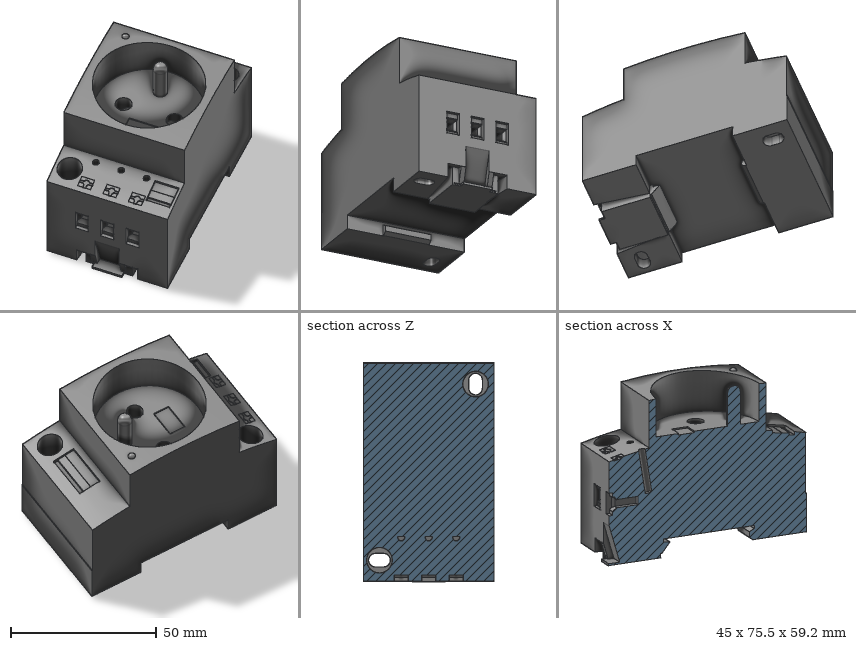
import cadquery as cq
import math

OVERLAP = 1.0

WIDTH = 45.0
HALF_DEPTH = 37.5
REAR_STEP = 0.25
REAR_STEP_TOP = 14.0
TOWER_HALF_DEPTH = 22.3
TOP_HEIGHT = 57.55
TOP_RADIUS = 180.0
SHOULDER_CROWN = 40.6
SHOULDER_RADIUS = 158.0

RAIL_HALF_WIDTH = 17.75
RAIL_HEIGHT = 5.1
HOOK_REACH = 1.9
HOOK_WIDTH = 17.5
HOOK_TOP = 4.1
HOOK_TIP_TOP = 3.2
HOOK_TIP_BOTTOM = 1.1
HOOK_BASE_OFFSET = 0.35

CLIP_HALF_WIDTH = 8.73
CLIP_FRONT = -35.6
CLIP_BOTTOM = -1.6
CLIP_NOSE_TIP = (-14.2, 3.75)
CLIP_NOSE_ROOT = -16.7
CLIP_NOSE_SHELF = 4.1
CLIP_NOSE_BASE_OFFSET = 0.5
TONGUE_HALF_WIDTH = 5.55
TONGUE_FRONT = -37.73
TONGUE_TOP = -0.75
GROOVE_HALF_WIDTH = 8.0
GROOVE_HEIGHT = 0.25
GROOVE_DEPTH = 0.8
WEDGE_HALF_WIDTH = 6.27
WEDGE_PROUD = 2.2
CHANNEL_MOUTH_HALF_WIDTH = 11.35
CHANNEL_HALF_WIDTH = 9.25
NOTCH_HALF_WIDTH = 4.45
NOTCH_TOP = 12.85
NOTCH_DEPTH = 4.0

SOCKET_DIAMETER = 39.0
SOCKET_FLOOR = 42.65
PIN_DIAMETER = 5.0
PIN_Y = 10.1
PIN_TOP = 57.0
CONTACT_DIAMETER = 5.8
CONTACT_PITCH = 19.0
CONTACT_DEPTH = 10.0
CONTACT_FLOOR_ANGLE = 38.0
LABEL_LENGTH = 10.5
LABEL_WIDTH = 5.95
LABEL_Y = -8.05
LABEL_DEPTH = 0.5
LAMP_RADIUS = 1.4
LAMP_X = -16.05
LAMP_Y = 17.4
LAMP_TOP = 57.55

BORE_DIAMETER = 8.7
BORE_FLOOR = 5.0
SLOT_LENGTH = 7.4
SLOT_WIDTH = 4.6
FRONT_HOLE = (-16.95, -30.25)
REAR_HOLE = (16.1, 30.3)

TERMINAL_PITCH = 9.45
TERMINAL_WIDTH = 4.8
TERMINAL_BOTTOM = 16.55
TERMINAL_TOP = 24.6
TERMINAL_DEPTH = 1.3
FUNNEL_BOTTOM = 17.9
FUNNEL_TOP = 22.9
FUNNEL_START = 0.8
FUNNEL_DEPTH = 0.8
WIRE_HOLE_SIZE = 2.8
WIRE_HOLE_DEPTH = 8.0
WIRE_HOLE_Z = 20.5
TEST_HOLE_DIAMETER = 2.3
TEST_HOLE_Y = -24.95
TEST_HOLE_DEPTH = 16.0

MARK_FRONT = -35.5
MARK_REAR = -31.7
MARK_DEPTH = 0.1
SCREW_Y = -33.45
SCREW_RADIUS = 1.05
SCREW_SLOT_WIDTH = 0.8
SCREW_STEM_WIDTH = 1.1
SCREW_DEPTH = 0.4

POCKET_INNER = 24.8
POCKET_OUTER = 33.0
POCKET_MIDDLE = 28.3
POCKET_STEP = 31.2
POCKET_DEPTH = 0.75
POCKET_STEP_DEPTH = 0.5
POCKET_MIDDLE_RISE = 0.1
FRONT_POCKET_X = (12.6, 21.4)
REAR_POCKET_X = (-7.25, 9.7)


def arc_height(crown, radius, y):
    """Height at y of an arc that peaks at the given crown above y = 0."""
    return crown - radius + math.sqrt(radius**2 - y**2)


def shoulder_height(y):
    return arc_height(SHOULDER_CROWN, SHOULDER_RADIUS, y)


def box(x0, x1, y0, y1, z0, z1):
    return cq.Workplane("XY").box(x1 - x0, y1 - y0, z1 - z0, centered=False).translate((x0, y0, z0))


def prism(yz_points, x0, x1):
    """Extrude a closed outline in the YZ plane from x0 to x1."""
    return cq.Workplane("YZ", origin=(x0, 0, 0)).polyline(yz_points).close().extrude(x1 - x0)


def cylinder(x, y, z0, z1, diameter):
    return cq.Workplane("XY", origin=(x, y, z0)).circle(diameter / 2).extrude(z1 - z0)


def arched_block(half_depth, crown, radius):
    """Full-width block on the base plane with an arched top."""
    edge = arc_height(crown, radius, half_depth)
    return (
        cq.Workplane("YZ", origin=(-WIDTH / 2, 0, 0))
        .moveTo(-half_depth, 0)
        .lineTo(-half_depth, edge)
        .threePointArc((0, crown), (half_depth, edge))
        .lineTo(half_depth, 0)
        .close()
        .extrude(WIDTH)
    )


def housing():
    lower = arched_block(HALF_DEPTH, SHOULDER_CROWN, SHOULDER_RADIUS)
    tower = arched_block(TOWER_HALF_DEPTH, TOP_HEIGHT, TOP_RADIUS)
    rear_pad = box(-WIDTH / 2, WIDTH / 2, 0, HALF_DEPTH + REAR_STEP, 0, REAR_STEP_TOP)
    rail = box(-WIDTH / 2, WIDTH / 2, -RAIL_HALF_WIDTH, RAIL_HALF_WIDTH, 0, RAIL_HEIGHT)
    return lower.union(tower).union(rear_pad).cut(rail)


def rear_hook():
    """Fixed rail hook with a blunt, bevelled edge."""
    root = RAIL_HALF_WIDTH
    tip = RAIL_HALF_WIDTH - HOOK_REACH
    embedded = RAIL_HALF_WIDTH + OVERLAP
    outline = [
        (embedded, HOOK_TOP),
        (root, HOOK_TOP),
        (tip, HOOK_TIP_TOP),
        (tip, HOOK_TIP_BOTTOM),
        (root - HOOK_BASE_OFFSET, 0),
        (embedded, 0),
    ]
    return prism(outline, -HOOK_WIDTH / 2, HOOK_WIDTH / 2)


def slope_setback(z):
    """Depth of the sloped notch face behind the front of the housing at height z."""
    return NOTCH_DEPTH * (NOTCH_TOP - z) / (NOTCH_TOP - TONGUE_TOP)


def clip_channel():
    """Channel for the clip, narrowing steadily from the front face to the rail recess."""
    return (
        cq.Workplane("XY")
        .polyline(
            [
                (-CHANNEL_MOUTH_HALF_WIDTH, -HALF_DEPTH),
                (CHANNEL_MOUTH_HALF_WIDTH, -HALF_DEPTH),
                (CHANNEL_HALF_WIDTH, -RAIL_HALF_WIDTH),
                (-CHANNEL_HALF_WIDTH, -RAIL_HALF_WIDTH),
            ]
        )
        .close()
        .extrude(RAIL_HEIGHT)
    )


def clip():
    outline = [
        (CLIP_FRONT, CLIP_BOTTOM),
        (-RAIL_HALF_WIDTH, CLIP_BOTTOM),
        (-RAIL_HALF_WIDTH, 0),
        (-RAIL_HALF_WIDTH + CLIP_NOSE_BASE_OFFSET, 0),
        CLIP_NOSE_TIP,
        (CLIP_NOSE_ROOT, CLIP_NOSE_SHELF),
        (CLIP_NOSE_ROOT, RAIL_HEIGHT),
        (CLIP_FRONT, RAIL_HEIGHT),
    ]
    body = prism(outline, -CLIP_HALF_WIDTH, CLIP_HALF_WIDTH)
    wedge_back = -HALF_DEPTH - WEDGE_PROUD
    wedge_outline = [
        (CLIP_FRONT + OVERLAP, TONGUE_TOP),
        (CLIP_FRONT + OVERLAP, RAIL_HEIGHT),
        (wedge_back + slope_setback(RAIL_HEIGHT), RAIL_HEIGHT),
        (wedge_back + slope_setback(TONGUE_TOP), TONGUE_TOP),
    ]
    wedge = prism(wedge_outline, -WEDGE_HALF_WIDTH, WEDGE_HALF_WIDTH)
    tongue = box(
        -TONGUE_HALF_WIDTH, TONGUE_HALF_WIDTH, TONGUE_FRONT, CLIP_FRONT + OVERLAP, CLIP_BOTTOM, TONGUE_TOP
    )
    groove = box(
        -GROOVE_HALF_WIDTH,
        GROOVE_HALF_WIDTH,
        CLIP_FRONT,
        CLIP_FRONT + GROOVE_DEPTH,
        TONGUE_TOP - GROOVE_HEIGHT,
        TONGUE_TOP,
    )
    return body.cut(groove).union(wedge).union(tongue)


def clip_notch():
    """Screwdriver notch that slopes inward down to the top of the clip tongue."""
    outline = [
        (-HALF_DEPTH, NOTCH_TOP),
        (-HALF_DEPTH + NOTCH_DEPTH, TONGUE_TOP),
        (-HALF_DEPTH, TONGUE_TOP),
    ]
    return prism(outline, -NOTCH_HALF_WIDTH, NOTCH_HALF_WIDTH)


def contact_hole(side):
    """Contact hole (side = -1 or 1) whose flat floor falls away from the socket axis."""
    x = side * CONTACT_PITCH / 2
    hole = cylinder(x, 0, SOCKET_FLOOR - CONTACT_DEPTH, SOCKET_FLOOR, CONTACT_DIAMETER)
    floor = (
        box(-CONTACT_DEPTH, CONTACT_DEPTH, -CONTACT_DEPTH, CONTACT_DEPTH, -CONTACT_DEPTH, 0)
        .rotate((0, 0, 0), (0, 1, 0), side * CONTACT_FLOOR_ANGLE)
        .translate((x, 0, SOCKET_FLOOR - CONTACT_DEPTH / 2))
    )
    return hole.cut(floor)


def add_socket(part):
    part = part.cut(cylinder(0, 0, SOCKET_FLOOR, TOP_HEIGHT + OVERLAP, SOCKET_DIAMETER))
    for side in (-1, 1):
        part = part.cut(contact_hole(side))
    part = part.cut(
        box(
            -LABEL_LENGTH / 2,
            LABEL_LENGTH / 2,
            LABEL_Y - LABEL_WIDTH / 2,
            LABEL_Y + LABEL_WIDTH / 2,
            SOCKET_FLOOR - LABEL_DEPTH,
            SOCKET_FLOOR,
        )
    )
    dome_center = PIN_TOP - PIN_DIAMETER / 2
    pin = cylinder(0, PIN_Y, SOCKET_FLOOR - OVERLAP, dome_center, PIN_DIAMETER)
    dome = cq.Workplane("XY").sphere(PIN_DIAMETER / 2).translate((0, PIN_Y, dome_center))
    lamp = cq.Workplane("XY").sphere(LAMP_RADIUS).translate((LAMP_X, LAMP_Y, LAMP_TOP - LAMP_RADIUS))
    return part.union(pin.union(dome)).union(lamp)


def mounting_hole(center, slot_angle):
    bore = cylinder(center[0], center[1], BORE_FLOOR, SHOULDER_CROWN, BORE_DIAMETER)
    slot = (
        cq.Workplane("XY", origin=(center[0], center[1], 0))
        .slot2D(SLOT_LENGTH, SLOT_WIDTH, slot_angle)
        .extrude(BORE_FLOOR)
    )
    return bore.union(slot)


def wire_entry(x):
    """Terminal opening: recess, inner recess with a ramped floor, tapered funnel and square wire hole."""
    half = TERMINAL_WIDTH / 2
    recess_back = -HALF_DEPTH + TERMINAL_DEPTH
    funnel_front = recess_back + FUNNEL_START
    funnel_back = funnel_front + FUNNEL_DEPTH
    recess = box(x - half, x + half, -HALF_DEPTH, recess_back, TERMINAL_BOTTOM, TERMINAL_TOP)
    hole_bottom = WIRE_HOLE_Z - WIRE_HOLE_SIZE / 2
    ramp_share = FUNNEL_START / (FUNNEL_START + FUNNEL_DEPTH)
    ramp_height = FUNNEL_BOTTOM + ramp_share * (hole_bottom - FUNNEL_BOTTOM)
    inner_recess = prism(
        [
            (recess_back, FUNNEL_BOTTOM),
            (funnel_front, ramp_height),
            (funnel_front, FUNNEL_TOP),
            (recess_back, FUNNEL_TOP),
        ],
        x - half,
        x + half,
    )
    funnel_middle = (ramp_height + FUNNEL_TOP) / 2
    funnel = (
        cq.Workplane("XZ", origin=(x, funnel_front, funnel_middle))
        .rect(TERMINAL_WIDTH, FUNNEL_TOP - ramp_height)
        .workplane(offset=-FUNNEL_DEPTH)
        .center(0, WIRE_HOLE_Z - funnel_middle)
        .rect(WIRE_HOLE_SIZE, WIRE_HOLE_SIZE)
        .loft()
    )
    half_hole = WIRE_HOLE_SIZE / 2
    wire_hole = box(
        x - half_hole,
        x + half_hole,
        funnel_back,
        funnel_back + WIRE_HOLE_DEPTH,
        hole_bottom,
        WIRE_HOLE_Z + half_hole,
    )
    return recess.union(inner_recess).union(funnel).union(wire_hole)


def test_hole(x):
    """Round test hole, square to the arc of the front shoulder."""
    tilt = math.degrees(math.asin(-TEST_HOLE_Y / SHOULDER_RADIUS))
    return (
        cylinder(0, 0, -TEST_HOLE_DEPTH, OVERLAP, TEST_HOLE_DIAMETER)
        .rotate((0, 0, 0), (1, 0, 0), tilt)
        .translate((x, TEST_HOLE_Y, shoulder_height(TEST_HOLE_Y)))
    )


def shoulder_core(depth):
    """Lower housing block with its arched top lowered by the given depth."""
    return arched_block(HALF_DEPTH, SHOULDER_CROWN - depth, SHOULDER_RADIUS)


def screw_mark(x):
    """Shallow rectangle with a deeper screw head, cross slot and stem inside it."""
    half = TERMINAL_WIDTH / 2
    low = shoulder_height(MARK_FRONT) - OVERLAP
    high = SHOULDER_CROWN
    plate = box(x - half, x + half, MARK_FRONT, MARK_REAR, low, high)
    head = cylinder(x, SCREW_Y, low, high, 2 * SCREW_RADIUS)
    slot_half = SCREW_SLOT_WIDTH / 2
    slot = box(x - half, x + half, SCREW_Y - slot_half, SCREW_Y + slot_half, low, high)
    stem_half = SCREW_STEM_WIDTH / 2
    stem = box(x - stem_half, x + stem_half, MARK_FRONT, SCREW_Y, low, high)
    screw = head.union(slot).union(stem)
    return plate.cut(shoulder_core(MARK_DEPTH)).union(screw.cut(shoulder_core(SCREW_DEPTH)))


def marker_pocket(x_range, side):
    """Pocket with a stepped floor parallel to the shoulder; side is -1 at the front, 1 at the rear."""
    inner = shoulder_height(POCKET_INNER) - POCKET_DEPTH
    outer = shoulder_height(POCKET_OUTER) - POCKET_DEPTH
    slope = (outer - inner) / (POCKET_OUTER - POCKET_INNER)
    middle = inner + slope * (POCKET_MIDDLE - POCKET_INNER)
    step = inner + slope * (POCKET_STEP - POCKET_INNER)
    outline = [
        (side * POCKET_INNER, SHOULDER_CROWN),
        (side * POCKET_INNER, inner),
        (side * POCKET_MIDDLE, middle),
        (side * POCKET_MIDDLE, middle + POCKET_MIDDLE_RISE),
        (side * POCKET_STEP, step + POCKET_MIDDLE_RISE),
        (side * POCKET_STEP, step - POCKET_STEP_DEPTH),
        (side * POCKET_OUTER, outer - POCKET_STEP_DEPTH),
        (side * POCKET_OUTER, SHOULDER_CROWN),
    ]
    return prism(outline, x_range[0], x_range[1])


result = housing().union(rear_hook())
result = result.cut(clip_channel()).union(clip()).cut(clip_notch())
result = add_socket(result)
result = result.cut(mounting_hole(FRONT_HOLE, 0)).cut(mounting_hole(REAR_HOLE, 90))
for index in (-1, 0, 1):
    terminal_x = index * TERMINAL_PITCH
    result = result.cut(wire_entry(terminal_x))
    result = result.cut(test_hole(terminal_x))
    result = result.cut(screw_mark(terminal_x))
result = result.cut(marker_pocket(FRONT_POCKET_X, -1)).cut(marker_pocket(REAR_POCKET_X, 1))